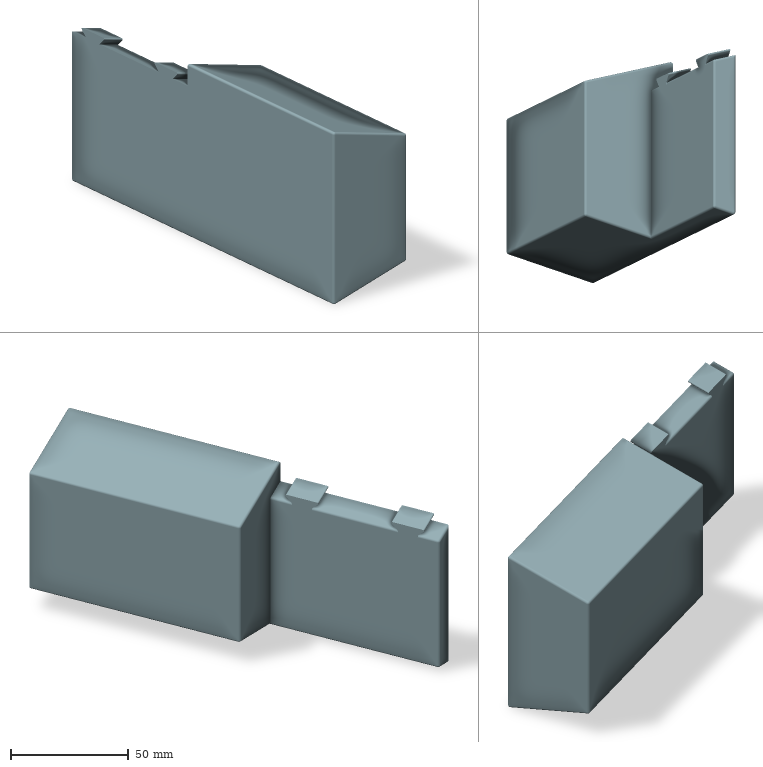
import cadquery as cq
import math

LENGTH = 180.0
DEPTH = 40.0
FRONT_HEIGHT = 80.0
TAPER_ANGLE = 15.0
EDGE_RADIUS = 1.0

PLATE_LENGTH = 80.0
PLATE_THICKNESS = 10.0
PLATE_DROP = 10.5

RAIL_HEIGHT = 3.8
RAIL_NECK_WIDTH = 9.4
RAIL_TIP_RADIUS = 0.5
RAIL_FIRST_CENTER = 15.0
RAIL_PITCH = 50.0
RAIL_COUNT = 2

TOUCH = 0.02

taper_slope = math.tan(math.radians(TAPER_ANGLE))
plate_height = FRONT_HEIGHT - PLATE_DROP


def tapered_bar(x_start, length, depth, front_height):
    """Bar along X whose top drops and bottom rises towards the back."""
    rise = depth * taper_slope
    section = [(0, 0), (depth, rise), (depth, front_height - rise), (0, front_height)]
    return cq.Workplane("YZ", origin=(x_start, 0, 0)).polyline(section).close().extrude(length)


def make_body():
    """Full-depth block joined to the plate, with rounded outer edges."""
    block = tapered_bar(PLATE_LENGTH, LENGTH - PLATE_LENGTH, DEPTH, FRONT_HEIGHT)
    plate = tapered_bar(0, PLATE_LENGTH, PLATE_THICKNESS, plate_height)
    body = block.union(plate)

    def is_rounded(edge):
        middle = edge.Center()
        at_front = abs(middle.y) < TOUCH
        at_junction = abs(middle.x - PLATE_LENGTH) < TOUCH and middle.y < PLATE_THICKNESS + TOUCH
        below_block_top = middle.z < FRONT_HEIGHT - PLATE_THICKNESS * taper_slope
        plate_top = at_front and abs(middle.z - plate_height) < TOUCH
        return not plate_top and not (at_junction and below_block_top)

    rounded_edges = [edge for edge in body.edges().vals() if is_rounded(edge)]
    return body.newObject(rounded_edges).fillet(EDGE_RADIUS)


def make_rail(center_x):
    """Dovetail rail running down the slope from the front to the back of the plate."""
    half_neck = RAIL_NECK_WIDTH / 2
    half_top = half_neck + RAIL_HEIGHT
    run = cq.Vector(0, PLATE_THICKNESS, -PLATE_THICKNESS * taper_slope)
    root = EDGE_RADIUS
    outline = [
        (center_x - half_neck, plate_height - root),
        (center_x + half_neck, plate_height - root),
        (center_x + half_neck, plate_height),
        (center_x + half_top, plate_height + RAIL_HEIGHT),
        (center_x - half_top, plate_height + RAIL_HEIGHT),
        (center_x - half_neck, plate_height),
    ]
    wire = cq.Wire.makePolygon([cq.Vector(x, 0, z) for x, z in outline], close=True)
    rail = cq.Workplane(cq.Solid.extrudeLinear(wire, [], run))
    return rail.edges("<X or >X").fillet(RAIL_TIP_RADIUS)


result = make_body()
for index in range(RAIL_COUNT):
    rail_center = RAIL_FIRST_CENTER + index * RAIL_PITCH
    result = result.union(make_rail(rail_center))